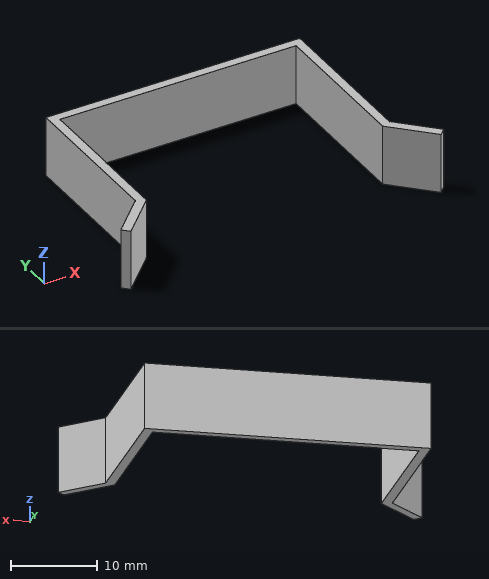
import cadquery as cq
import math

total_width = 43.2
total_depth = 26.15
height = 8.0

thickness = 1.2
channel_width = 34.0
flare_angle = math.radians(45)

back_y = total_depth / 2
front_y = -total_depth / 2
leg_outer_x = channel_width / 2
leg_inner_x = leg_outer_x - thickness
tip_outer_x = total_width / 2

tip_inner_x = tip_outer_x - thickness * math.cos(flare_angle)
tip_outer_y = front_y + thickness * math.sin(flare_angle)

bend_outer_y = tip_outer_y + (tip_outer_x - leg_outer_x) / math.tan(flare_angle)
bend_inner_y = bend_outer_y - thickness * math.tan(flare_angle / 2)

right_half = [
    (leg_outer_x, back_y),
    (leg_outer_x, bend_outer_y),
    (tip_outer_x, tip_outer_y),
    (tip_inner_x, front_y),
    (leg_inner_x, bend_inner_y),
    (leg_inner_x, back_y - thickness),
]
left_half = [(-x, y) for x, y in reversed(right_half)]

result = (
    cq.Workplane("XY")
    .polyline(right_half + left_half)
    .close()
    .extrude(height / 2, both=True)
)